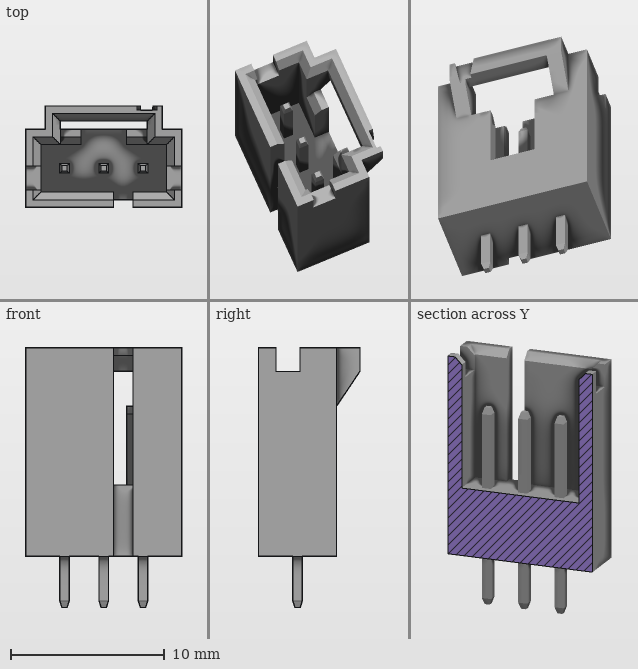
import cadquery as cq


housing_width = 10.17
housing_depth = 5.08
housing_height = 13.56
wall = 1.0
rim = wall / 2
bevel = wall - rim
floor_height = 4.65

hood_width = 7.63
hood_back = 6.6
hood_drop = 1.54
hood_slope_drop = 3.8

window_gap = 2.99
key_width = 1.25
key_center = 1.27
notch_width = 1.54
notch_depth = 1.54
notch_front = 1.15
mark_center = 2.8
mark_top_width = 1.28
mark_bottom_width = 0.68
mark_depth = 0.29

pin_count = 3
pin_pitch = 2.55
pin_size = 0.62
pin_tip_size = 0.35
pin_tip_height = 0.44
overall_height = 16.89
pin_bottom = housing_height - overall_height
pin_top = 10.13

cavity_width = housing_width - 2 * wall
hood_cavity_width = hood_width - 2 * wall
hood_cavity_back = hood_back - wall
hood_lip = housing_height - hood_drop
sill = housing_height - hood_slope_drop


def block(x_min, x_max, y_min, y_max, z_min, z_max):
    size = (x_max - x_min, y_max - y_min, z_max - z_min)
    return cq.Workplane("XY").box(*size, centered=False).translate((x_min, y_min, z_min))


def centered_block(width, y_min, y_max, z_min, z_max, x_center=0):
    return block(x_center - width / 2, x_center + width / 2, y_min, y_max, z_min, z_max)


def make_shell():
    """Housing body with the hood, whose underside slopes back into the wall."""
    body = centered_block(housing_width, 0, housing_depth, 0, housing_height)
    hood = (
        cq.Workplane("YZ")
        .moveTo(housing_depth - wall, housing_height)
        .lineTo(hood_back, housing_height)
        .lineTo(hood_back, hood_lip)
        .lineTo(housing_depth, sill)
        .lineTo(housing_depth - wall, sill)
        .close()
        .extrude(hood_width / 2, both=True)
    )
    return body.union(hood)


def mouth_outline(z, growth):
    """T-shaped cavity wire at height z, grown outward by the given amount."""
    half = cavity_width / 2 + growth
    hood_half = hood_cavity_width / 2 + growth
    front = wall - growth
    shoulder = housing_depth - wall + growth
    back = hood_cavity_back + growth
    return cq.Workplane("XY").workplane(offset=z).polyline([
        (-half, front),
        (half, front),
        (half, shoulder),
        (hood_half, shoulder),
        (hood_half, back),
        (-hood_half, back),
        (-hood_half, shoulder),
        (-half, shoulder),
    ]).close().val()


def make_cavity():
    """Pin cavity, its hood extension and the bevel round the mouth."""
    main = centered_block(cavity_width, wall, housing_depth - wall, floor_height, housing_height)
    hood = centered_block(hood_cavity_width, wall, hood_cavity_back, sill, housing_height)
    lower = mouth_outline(housing_height - bevel, 0)
    upper = mouth_outline(housing_height, bevel)
    mouth = cq.Workplane(cq.Solid.makeLoft([lower, upper], True))
    return main.union(hood).union(mouth)


def make_back_window():
    """Opening below the hood lip, with bevelled sills and a gap down to the floor."""
    inner = housing_depth - wall
    opening = (
        cq.Workplane("YZ")
        .moveTo(inner, hood_lip)
        .lineTo(hood_back, hood_lip)
        .lineTo(hood_back, sill)
        .lineTo(inner + bevel, sill)
        .lineTo(inner, sill - bevel)
        .close()
        .extrude(hood_cavity_width / 2, both=True)
    )
    gap = centered_block(window_gap, inner, housing_depth, floor_height, sill)
    return opening.union(gap)


def make_key_slot():
    """Front slot: shallow over the floor, right through the wall above it."""
    groove = centered_block(key_width, 0, rim, 0, housing_height, key_center)
    opening = centered_block(key_width, 0, wall, floor_height, housing_height, key_center)
    return groove.union(opening)


def make_side_notches():
    return centered_block(
        housing_width, notch_front, notch_front + notch_width,
        housing_height - notch_depth, housing_height,
    )


def make_mark():
    """Tapered groove on the back of the hood, marking one end of the row."""
    slope = (hood_slope_drop - hood_drop) / (hood_back - housing_depth)
    bottom = hood_lip - mark_depth * slope
    return (
        cq.Workplane("XZ", origin=(mark_center, hood_back, 0))
        .moveTo(-mark_top_width / 2, housing_height)
        .lineTo(mark_top_width / 2, housing_height)
        .lineTo(mark_bottom_width / 2, bottom)
        .lineTo(-mark_bottom_width / 2, bottom)
        .close()
        .extrude(mark_depth)
    )


def make_pin(x):
    """Square pin tapered at both ends."""
    shank_bottom = pin_bottom + pin_tip_height
    shank_top = pin_top - pin_tip_height
    shank = (
        cq.Workplane("XY", origin=(0, 0, shank_bottom))
        .rect(pin_size, pin_size)
        .extrude(shank_top - shank_bottom)
    )
    pin = shank
    for face in (">Z", "<Z"):
        tip = (
            shank.faces(face).workplane()
            .rect(pin_size, pin_size)
            .workplane(offset=pin_tip_height)
            .rect(pin_tip_size, pin_tip_size)
            .loft(combine=False)
        )
        pin = pin.union(tip)
    return pin.translate((x, housing_depth / 2, 0))


result = make_shell()
for cut in (make_cavity(), make_back_window(), make_key_slot(), make_side_notches(), make_mark()):
    result = result.cut(cut)
for index in range(pin_count):
    result = result.union(make_pin((index - (pin_count - 1) / 2) * pin_pitch))